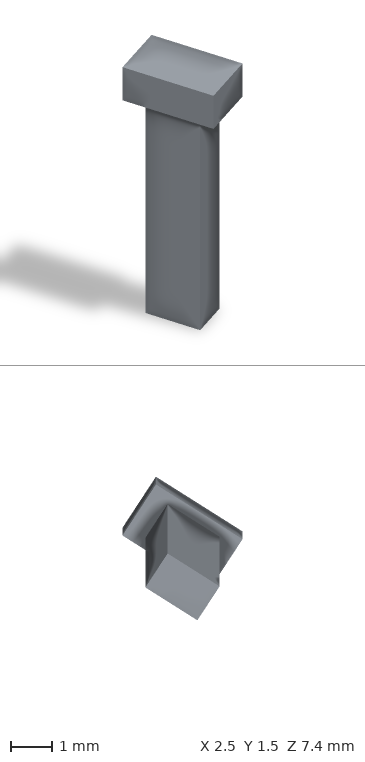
import cadquery as cq

total_height = 7.4

head_width = 2.5
head_depth = 1.5
head_height = 1.0

shank_width = 1.5
shank_depth = 1.0
shank_height = total_height - head_height

shank = cq.Workplane("XY").box(
    shank_width, shank_depth, shank_height, centered=(True, True, False)
)
head = (
    cq.Workplane("XY")
    .workplane(offset=shank_height)
    .box(head_width, head_depth, head_height, centered=(True, True, False))
)

result = shank.union(head)